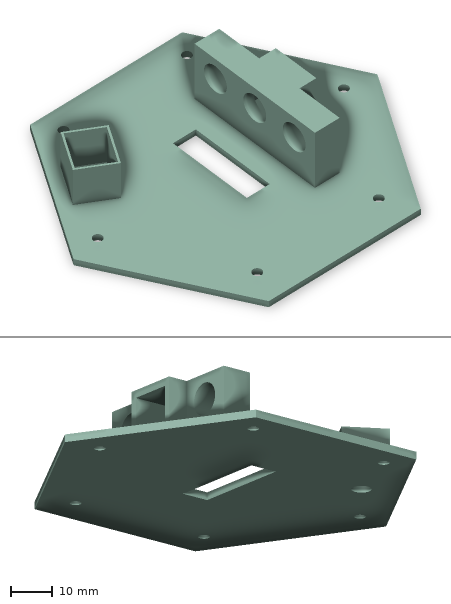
import cadquery as cq

PLATE_ACROSS_CORNERS = 99.6
PLATE_THICKNESS = 2.0
TOTAL_HEIGHT = 20.0

FEATURE_X = -1.5

BLOCK_LENGTH = 43.5
BLOCK_FRONT_Y = 11.0
BLOCK_DEPTH = 8.1
STUB_LENGTH = 14.6
STUB_DEPTH = 5.5
BORE_DIAMETER = 8.3
BORE_SPACING = 14.2
BORE_Z = 13.5

POCKET_FRONT_WALL = 3.4
POCKET_WIDTH = 11.4
POCKET_HEIGHT = 9.0

WINDOW_LENGTH = 26.7
WINDOW_WIDTH = 7.5

CUP_X = -17.7
CUP_Y = -28.1
CUP_LENGTH = 14.0
CUP_WIDTH = 12.0
CUP_WALL = 0.6
CUP_HEIGHT = 11.5
CUP_ANGLE = -30.0
CUP_HOLE_DIAMETER = 5.0

SCREW_DIAMETER = 2.9
SCREW_POSITIONS = [(-36.3, 20.2), (-1.7, 40.35), (33.5, 19.9)]


def make_plate():
    return (
        cq.Workplane("XY")
        .polygon(6, PLATE_ACROSS_CORNERS)
        .extrude(PLATE_THICKNESS)
        .rotate((0, 0, 0), (0, 0, 1), 90)
    )


def make_block():
    """T-shaped upright block standing on the plate."""
    height = TOTAL_HEIGHT - PLATE_THICKNESS
    base = cq.Workplane("XY", origin=(FEATURE_X, BLOCK_FRONT_Y, PLATE_THICKNESS))
    bar = base.box(BLOCK_LENGTH, BLOCK_DEPTH, height, centered=(True, False, False))
    stub = base.box(STUB_LENGTH, BLOCK_DEPTH + STUB_DEPTH, height, centered=(True, False, False))
    return bar.union(stub)


def make_bores():
    """Three bores running front to back; the middle one also crosses the stub."""
    return (
        cq.Workplane("XZ", origin=(FEATURE_X, BLOCK_FRONT_Y, BORE_Z))
        .pushPoints([(step * BORE_SPACING, 0) for step in (-1, 0, 1)])
        .circle(BORE_DIAMETER / 2)
        .extrude(-(BLOCK_DEPTH + STUB_DEPTH))
    )


def make_pocket():
    front_y = BLOCK_FRONT_Y + POCKET_FRONT_WALL
    depth = BLOCK_DEPTH + STUB_DEPTH - POCKET_FRONT_WALL
    return (
        cq.Workplane("XZ", origin=(FEATURE_X, front_y, BORE_Z))
        .rect(POCKET_WIDTH, POCKET_HEIGHT)
        .extrude(-depth)
    )


def cup_plane():
    plane = cq.Plane(origin=(CUP_X, CUP_Y, PLATE_THICKNESS)).rotated((0, 0, CUP_ANGLE))
    return cq.Workplane(plane)


def make_cup_walls():
    return (
        cup_plane()
        .rect(CUP_LENGTH, CUP_WIDTH)
        .rect(CUP_LENGTH - 2 * CUP_WALL, CUP_WIDTH - 2 * CUP_WALL)
        .extrude(CUP_HEIGHT)
    )


def make_cup_hole():
    return cup_plane().circle(CUP_HOLE_DIAMETER / 2).extrude(-PLATE_THICKNESS)


def make_window():
    return (
        cq.Workplane("XY")
        .center(FEATURE_X, 0)
        .rect(WINDOW_LENGTH, WINDOW_WIDTH)
        .extrude(PLATE_THICKNESS)
    )


def make_screw_holes():
    mirrored = [(x, -y) for x, y in SCREW_POSITIONS]
    return (
        cq.Workplane("XY")
        .pushPoints(SCREW_POSITIONS + mirrored)
        .circle(SCREW_DIAMETER / 2)
        .extrude(PLATE_THICKNESS)
    )


body = make_plate().union(make_block()).union(make_cup_walls())
for cutter in (make_bores(), make_pocket(), make_cup_hole(), make_window(), make_screw_holes()):
    body = body.cut(cutter)

result = body